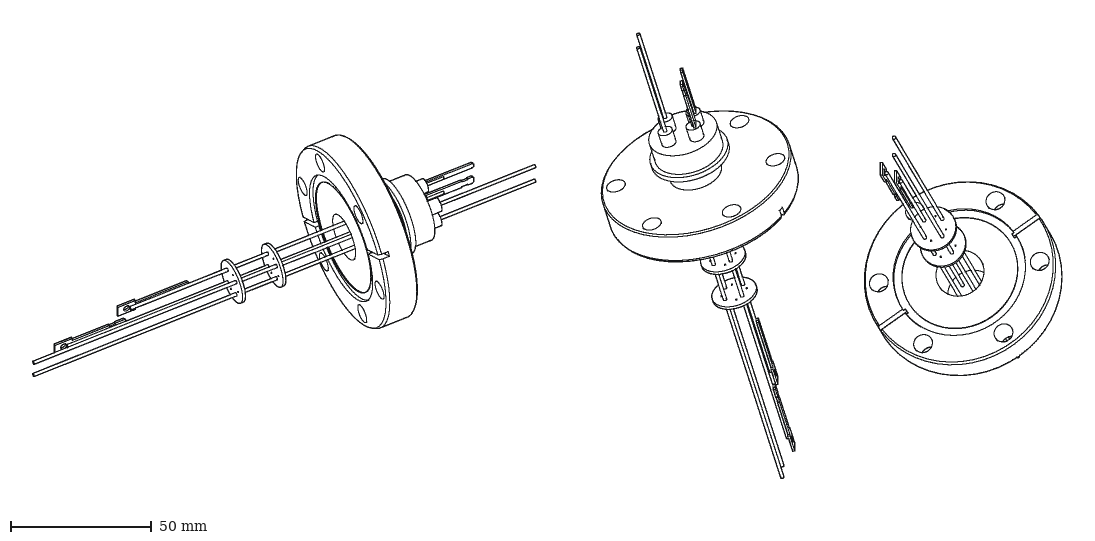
import cadquery as cq
import math


flange_diameter = 69.7
flange_radius = flange_diameter / 2
flange_thickness = 12.7
front_chamfer_radial = 0.6
front_chamfer_axial = 1.2
back_chamfer = 0.6
bore_diameter = 17.5
bore_radius = bore_diameter / 2
bore_end = 21.0

recess_radius = 24.1
recess_depth = 1.5
knife_radius = 21.0
knife_tip_depth = 0.8
floor_depth = 1.2

bolt_count = 6
bolt_circle_radius = 29.3
bolt_hole_diameter = 6.8
first_bolt_angle = 3.3
groove_angle = first_bolt_angle + 180 / bolt_count
groove_width = 1.8
groove_depth = 3.8

tube_diameter = 19.0
tube_radius = tube_diameter / 2
flare_start = 17.0
flare_radius = 11.2
collar_diameter = 28.7
collar_radius = collar_diameter / 2
collar_front = 20.5
collar_back = 22.5
body_diameter = 25.1
body_radius = body_diameter / 2
body_back = 31.1

bushing_radius = 2.6
bushing_back = 36.5
bushing_spacing_x = 10.2
bushing_spacing_z = 7.8
bushing_x = bushing_spacing_x / 2
bushing_z = bushing_spacing_z / 2

root_depth = 1.0

pin_radius = 0.65
pin_spacing = 6.6
pin_x = pin_spacing / 2
pin_z = pin_x
pin_front = -125.5
pin_back = 75.3

air_pin_radius = 0.5
air_pin_back = 44.0
upper_pin_x = -pin_x
lower_pin_x = -3.0
blade_thickness = 0.8
tip_chamfer = 0.6
air_blade_face = -6.2
air_blade_back = 56.2
upper_air_height = 2.5
lower_air_height = 3.5
vacuum_blade_overlap = 0.1
vacuum_blade_length = 28.5
upper_blade_back = -59.3
lower_blade_back = -84.8
upper_vacuum_height = 2.5
lower_vacuum_height = 3.0

notch_depth = 0.5
notch_length = 2.5
air_notch_start = 2.5
vacuum_notch_start = 4.2

head_length = 7.0
head_height = 4.8
eyelet_diameter = 2.5
pin_past_head_start = 2.5

disc_radius = 8.2
disc_thickness = 1.2
disc_centers = (-27.1, -43.4)
vent_count = 4
vent_diameter = 0.5
vent_circle_radius = math.hypot(pin_x, pin_z)
first_vent_angle = -10


def cylinder(x, z, radius, front, back):
    """Cylinder along Y, from front to back."""
    base = cq.Vector(x, front, z)
    return cq.Workplane(cq.Solid.makeCylinder(radius, back - front, base, cq.Vector(0, 1, 0)))


def bar(x_min, front, back, z, height):
    """Flat bar with its -X face at x_min, centred on z."""
    return (
        cq.Workplane("XY")
        .box(blade_thickness, back - front, height, centered=(False, False, True))
        .translate((x_min, front, z))
    )


def make_shell():
    """Flange, tube, flare, collar and body as one revolved profile with a blind bore."""
    rise = flare_radius - tube_radius
    run = collar_front - flare_start
    arc_radius = (run**2 + rise**2) / (2 * rise)
    mid_run = run / 2
    mid_rise = arc_radius - math.sqrt(arc_radius**2 - mid_run**2)
    return (
        cq.Workplane("XY")
        .moveTo(0, bore_end)
        .lineTo(bore_radius, bore_end)
        .lineTo(bore_radius, floor_depth)
        .lineTo(knife_radius, floor_depth)
        .lineTo(knife_radius, knife_tip_depth)
        .lineTo(recess_radius, recess_depth)
        .lineTo(recess_radius, 0)
        .lineTo(flange_radius - front_chamfer_radial, 0)
        .lineTo(flange_radius, front_chamfer_axial)
        .lineTo(flange_radius, flange_thickness - back_chamfer)
        .lineTo(flange_radius - back_chamfer, flange_thickness)
        .lineTo(tube_radius, flange_thickness)
        .lineTo(tube_radius, flare_start)
        .threePointArc((tube_radius + mid_rise, flare_start + mid_run), (flare_radius, collar_front))
        .lineTo(collar_radius, collar_front)
        .lineTo(collar_radius, collar_back)
        .lineTo(body_radius, collar_back)
        .lineTo(body_radius, body_back)
        .lineTo(0, body_back)
        .close()
        .revolve(360, (0, 0, 0), (0, 1, 0))
    )


def cut_bolt_holes(body):
    for index in range(bolt_count):
        angle = math.radians(first_bolt_angle + index * 360 / bolt_count)
        x = bolt_circle_radius * math.cos(angle)
        z = bolt_circle_radius * math.sin(angle)
        body = body.cut(cylinder(x, z, bolt_hole_diameter / 2, 0, flange_thickness))
    return body


def cut_leak_grooves(body):
    """Two opposite radial grooves from the recess out through the rim."""
    start = recess_radius - groove_width / 2
    groove = cq.Workplane("XY").box(flange_radius, groove_depth, groove_width, centered=(False, False, True))
    groove = groove.translate((start, 0, 0))
    for angle in (groove_angle, groove_angle + 180):
        body = body.cut(groove.rotate((0, 0, 0), (0, 1, 0), -angle))
    return body


def blade_strip(x_min, front, back, z, height):
    """Flat blade with its back tip chamfered."""
    return bar(x_min, front, back, z, height).faces(">Y").edges("|X").chamfer(tip_chamfer)


def cut_waist(blade, x_min, back, z, height, start):
    """Narrow a blade from both edges over a short length near its back tip."""
    for side in (-1, 1):
        edge = z + side * height / 2
        blade = blade.cut(bar(x_min, back - start - notch_length, back - start, edge, 2 * notch_depth))
    return blade


def air_blade(z, height, waisted):
    """Short pin and long flat blade behind a bushing."""
    root = bushing_back - root_depth
    blade = blade_strip(air_blade_face, root, air_blade_back, z, height)
    if waisted:
        blade = cut_waist(blade, air_blade_face, air_blade_back, z, height, air_notch_start)
    return blade.union(cylinder(-bushing_x, z, air_pin_radius, root, air_pin_back))


def vacuum_blade(pin_place, z, height, back, waisted):
    """Long pin carrying a flat blade that widens into an eyelet head at its front end."""
    front = back - vacuum_blade_length
    head_back = front + head_length
    face = pin_place - pin_radius + vacuum_blade_overlap - blade_thickness
    blade = blade_strip(face, front, back, z, height)
    if waisted:
        blade = cut_waist(blade, face, back, z, height, vacuum_notch_start)
    head = bar(face, front, head_back, z, head_height)
    eyelet = (
        cq.Workplane("YZ", origin=(face, front + head_length / 2, z))
        .circle(eyelet_diameter / 2)
        .extrude(blade_thickness)
    )
    pin = cylinder(pin_place, z, pin_radius, head_back - pin_past_head_start, bore_end + root_depth)
    return blade.union(head).cut(eyelet).union(pin)


def support_disc(center):
    """Thin disc around the pins, pierced by the vent holes."""
    front = center - disc_thickness / 2
    back = center + disc_thickness / 2
    disc = cylinder(0, 0, disc_radius, front, back)
    for index in range(vent_count):
        angle = math.radians(first_vent_angle + index * 360 / vent_count)
        x = vent_circle_radius * math.cos(angle)
        z = vent_circle_radius * math.sin(angle)
        disc = disc.cut(cylinder(x, z, vent_diameter / 2, front, back))
    return disc


result = cut_leak_grooves(cut_bolt_holes(make_shell()))

for disc_center in disc_centers:
    result = result.union(support_disc(disc_center))

for side in (-1, 1):
    for level in (-1, 1):
        x = side * bushing_x
        z = level * bushing_z
        result = result.union(cylinder(x, z, bushing_radius, body_back - root_depth, bushing_back))

for level in (-1, 1):
    front_pin = cylinder(pin_x, level * pin_z, pin_radius, pin_front, bore_end + root_depth)
    back_pin = cylinder(bushing_x, level * bushing_z, pin_radius, bushing_back - root_depth, pin_back)
    result = result.union(front_pin).union(back_pin)

result = result.union(air_blade(bushing_z, upper_air_height, False))
result = result.union(air_blade(-bushing_z, lower_air_height, True))
result = result.union(vacuum_blade(upper_pin_x, pin_z, upper_vacuum_height, upper_blade_back, False))
result = result.union(vacuum_blade(lower_pin_x, -pin_z, lower_vacuum_height, lower_blade_back, True))